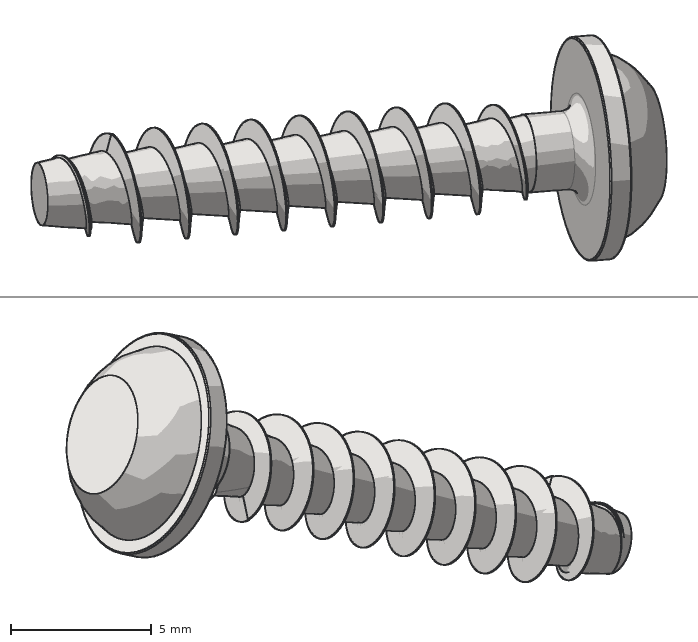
import cadquery as cq
import math


head_height = 2.6
flange_thickness = 0.8
flange_radius = 4.0
flange_edge_chamfer = 0.05
dome_base_radius = 3.5
dome_top_radius = 2.14
dome_mid_radius = 3.0
dome_mid_height = 1.8

shank_length = 20.0
neck_radius = 1.4
neck_length = 2.0
neck_fillet = 0.6

core_max_radius = 1.38
core_min_radius = 1.14
lead_cone_length = 1.6
tip_radius = 1.12
tip_slope = 0.16
tip_cone_height = 0.06

pitch = 1.788
crest_radius = 2.02
crest_width = 0.05
flank_angle = 15.0
thread_root_radius = 1.08
run_in_turns = 1.25
run_in_crest_radius = 1.53
full_turns = 7.5
run_out_turns = 1.3
run_out_crest_radius = 1.16
full_thread_start = 3.86
full_thread_angle = 270.0
join_turns = 0.02
join_step = 0.02


def thread_half_width(depth_below_crest):
    return crest_width / 2 + depth_below_crest * math.tan(math.radians(flank_angle))


def helical_sweep(profile, start_turn, turns, radius, radius_change=0.0):
    """Sweep an (r, z) profile along a right-hand helix about Z.

    Turn 0 is the start of the full-depth thread. The profile moves outwards
    by radius_change over the sweep.
    """
    height = turns * pitch
    if radius_change == 0:
        path = cq.Wire.makeHelix(pitch, height, radius)
    else:
        cone_angle = math.atan2(radius_change, height)
        slant = 1 / math.cos(cone_angle)
        path = cq.Wire.makeHelix(pitch * slant, height * slant, radius, angle=math.degrees(cone_angle))
    section = cq.Workplane("XZ").polyline(profile).close()
    swept = section.sweep(cq.Workplane(path), isFrenet=True)
    turn_angle = full_thread_angle + 360 * start_turn
    start_height = full_thread_start + pitch * start_turn
    return swept.rotate((0, 0, 0), (0, 0, 1), turn_angle).translate((0, 0, start_height))


def thread_section(start_turn, turns, start_crest, end_crest):
    depth = crest_radius - thread_root_radius
    root_half_width = thread_half_width(depth)
    profile = [
        (start_crest - depth, -root_half_width),
        (start_crest, -crest_width / 2),
        (start_crest, crest_width / 2),
        (start_crest - depth, root_half_width),
    ]
    return helical_sweep(profile, start_turn, turns, start_crest, end_crest - start_crest)


def make_thread():
    joined_crest = crest_radius - join_step
    full = thread_section(0, full_turns, crest_radius, crest_radius)
    run_in = thread_section(
        -run_in_turns, run_in_turns + join_turns, run_in_crest_radius, joined_crest
    )
    run_out = thread_section(
        full_turns - join_turns, run_out_turns + join_turns, joined_crest, run_out_crest_radius
    )
    neck_space = cq.Workplane("XY").circle(flange_radius).extrude(neck_length)
    return [full, run_in.cut(neck_space), run_out]


def make_core():
    outer_clearance = 0.2
    groove_radius = core_max_radius + outer_clearance
    wall_overlap = 0.02
    groove_start = thread_half_width(crest_radius - core_max_radius) / 2
    groove_end = pitch - groove_start
    groove_profile = [
        (core_max_radius - wall_overlap, groove_start),
        (core_min_radius, groove_end),
        (groove_radius, groove_end),
        (groove_radius, groove_start),
    ]
    extra_turns = 0.5
    groove_turns = run_in_turns + full_turns + run_out_turns + 2 * extra_turns
    groove = helical_sweep(groove_profile, -run_in_turns - extra_turns, groove_turns, core_max_radius)
    core = cq.Workplane("XY").circle(core_max_radius).extrude(shank_length).cut(groove)

    rim_height = shank_length - tip_cone_height
    envelope_start = neck_length / 2
    envelope_radius = tip_radius + tip_slope * (rim_height - envelope_start)
    envelope = (
        cq.Workplane("XZ")
        .moveTo(0, envelope_start)
        .lineTo(envelope_radius, envelope_start)
        .lineTo(tip_radius, rim_height)
        .lineTo(0, shank_length)
        .close()
        .revolve(360, (0, 0, 0), (0, 1, 0))
    )
    return core.intersect(envelope)


def make_lead_cone():
    cone = cq.Solid.makeCone(core_max_radius, core_min_radius, lead_cone_length)
    return cq.Workplane(cone).translate((0, 0, neck_length))


def make_head_and_neck():
    flange_top = -flange_thickness
    edge = flange_edge_chamfer
    return (
        cq.Workplane("XZ")
        .moveTo(0, -head_height)
        .lineTo(dome_top_radius, -head_height)
        .threePointArc((dome_mid_radius, -dome_mid_height), (dome_base_radius, flange_top))
        .lineTo(flange_radius - edge, flange_top)
        .lineTo(flange_radius, flange_top + edge)
        .lineTo(flange_radius, -edge)
        .lineTo(flange_radius - edge, 0)
        .lineTo(neck_radius + neck_fillet, 0)
        .radiusArc((neck_radius, neck_fillet), neck_fillet)
        .lineTo(neck_radius, neck_length)
        .lineTo(0, neck_length)
        .close()
        .revolve(360, (0, 0, 0), (0, 1, 0))
    )


screw = make_core()
for section in make_thread():
    screw = screw.union(section)
screw = screw.union(make_head_and_neck().union(make_lead_cone()))

result = screw.rotate((0, 0, 0), (1, 0, 0), 90)